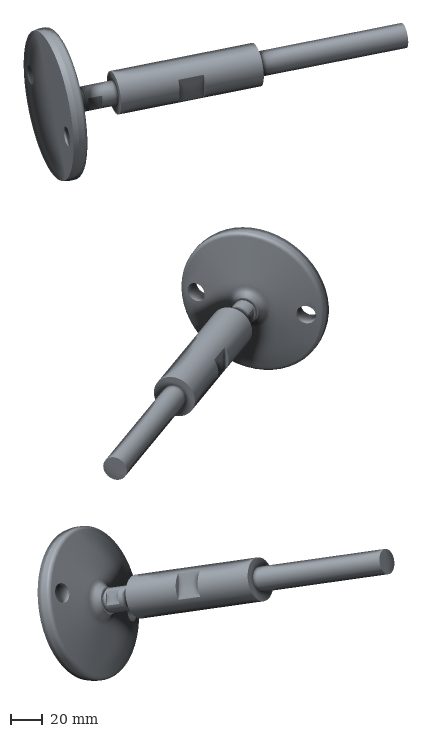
import cadquery as cq
import math

total_length = 237.0

rim_radius = 49.0
underside_radius = 48.3
rim_low_y = 3.5
rim_high_y = 7.0
rim_round_radius = 2.5
cone_slope = math.radians(9.5)
cone_top_radius = 14.2
flare_slope = math.radians(45)
flare_blend_radius = 5.2
hub_waist_radius = 8.0
hub_lip_radius = 8.8
hub_lip_thickness = 0.5
hub_top_y = 20.6

hole_diameter = 12.5
hole_offset = 35.5
hole_cutter_length = 47.5

spindle_radius = 16.0 / 2
neck_radius = 6.9
neck_end_y = 22.3
spindle_flat_width = 13.3
spindle_flat_start_y = 24.0
spindle_flat_end_y = 33.5

sleeve_radius = 28.0 / 2
sleeve_start_y = 43.5
sleeve_length = 95.0
sleeve_flat_width = 22.3
sleeve_flat_length = 17.0


def cylinder(radius, start_y, end_y):
    """Solid cylinder about the Y axis."""
    return cq.Workplane("XZ", origin=(0, start_y, 0)).circle(radius).extrude(start_y - end_y)


def cut_wrench_flats(body, radius, width, start_y, end_y):
    """Cut two flats, facing -X and +X, into a round body."""
    depth = radius - width / 2
    for side in (-1, 1):
        cutter = cq.Workplane("XY").box(depth, end_y - start_y, 2 * radius)
        center_x = side * (width + depth) / 2
        body = body.cut(cutter.translate((center_x, (start_y + end_y) / 2, 0)))
    return body


def make_foot():
    """Conical disc with a flared hub and two tilted fixing holes."""
    cone_base_radius = rim_radius - rim_round_radius * (1 - math.sin(cone_slope))
    cone_base_y = rim_high_y + rim_round_radius * math.cos(cone_slope)
    cone_top_y = cone_base_y + (cone_base_radius - cone_top_radius) * math.tan(cone_slope)

    flare_base_radius = cone_top_radius - flare_blend_radius * (math.sin(flare_slope) - math.sin(cone_slope))
    flare_base_y = cone_top_y + flare_blend_radius * (math.cos(cone_slope) - math.cos(flare_slope))
    flare_top_y = flare_base_y + (flare_base_radius - hub_waist_radius) * math.tan(flare_slope)
    lip_base_y = hub_top_y - hub_lip_thickness

    foot = (
        cq.Workplane("XY")
        .lineTo(underside_radius, 0)
        .lineTo(rim_radius, rim_low_y)
        .lineTo(rim_radius, rim_high_y)
        .tangentArcPoint((cone_base_radius, cone_base_y), relative=False)
        .lineTo(cone_top_radius, cone_top_y)
        .tangentArcPoint((flare_base_radius, flare_base_y), relative=False)
        .lineTo(hub_waist_radius, flare_top_y)
        .lineTo(hub_waist_radius, lip_base_y)
        .lineTo(hub_lip_radius, lip_base_y)
        .lineTo(hub_lip_radius, hub_top_y)
        .lineTo(0, hub_top_y)
        .close()
        .revolve(360, (0, 0, 0), (0, 1, 0))
    )
    for side in (-1, 1):
        axis = cq.Vector(side * math.sin(cone_slope), math.cos(cone_slope), 0)
        start = cq.Vector(side * hole_offset, 0, 0) - axis * (hole_cutter_length / 2)
        foot = foot.cut(cq.Solid.makeCylinder(hole_diameter / 2, hole_cutter_length, start, axis))
    return foot


def make_spindle():
    """Long rod with a thinner neck standing on the hub and two wrench flats."""
    neck = cylinder(neck_radius, hub_top_y, neck_end_y)
    spindle = cylinder(spindle_radius, neck_end_y, total_length).union(neck)
    return cut_wrench_flats(
        spindle, spindle_radius, spindle_flat_width, spindle_flat_start_y, spindle_flat_end_y
    )


def make_sleeve():
    """Tube around the spindle with two wrench flats at mid-length."""
    end_y = sleeve_start_y + sleeve_length
    middle_y = (sleeve_start_y + end_y) / 2
    sleeve = cylinder(sleeve_radius, sleeve_start_y, end_y)
    sleeve = sleeve.cut(cylinder(spindle_radius, sleeve_start_y, end_y))
    return cut_wrench_flats(
        sleeve,
        sleeve_radius,
        sleeve_flat_width,
        middle_y - sleeve_flat_length / 2,
        middle_y + sleeve_flat_length / 2,
    )


foot = make_foot()
spindle = make_spindle()
sleeve = make_sleeve()

result = cq.Compound.makeCompound([foot.val(), spindle.val(), sleeve.val()])